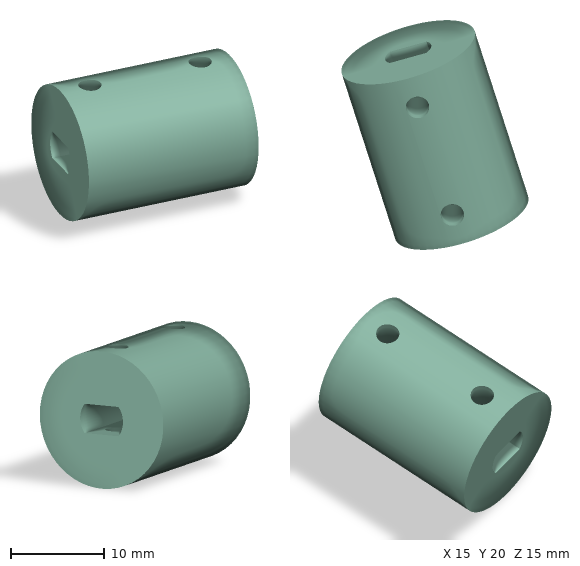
import cadquery as cq

length = 20.0
body_diameter = 15.0

socket_diameter = 5.2
socket_across_flats = 3.2
web_thickness = 2.0
socket_depth = (length - web_thickness) / 2

screw_hole_diameter = 2.5
screw_hole_end_distance = 3.5


def cylinder_along_y(diameter, start_y, extent):
    """Round bar on the Y axis running from start_y towards +Y."""
    profile = cq.Workplane("XZ", origin=(0, start_y, 0)).circle(diameter / 2)
    return profile.extrude(-extent)


def shaft_socket():
    """Round bore in the -Y end, trimmed by flats above and below."""
    bore = cylinder_along_y(socket_diameter, -length / 2, socket_depth)
    flats = cq.Workplane("XY").box(socket_diameter, 2 * length, socket_across_flats)
    return bore.intersect(flats)


def screw_holes():
    """Pair of holes passing right through the body along Z."""
    offset = length / 2 - screw_hole_end_distance
    return (
        cq.Workplane("XY")
        .pushPoints([(0, -offset), (0, offset)])
        .circle(screw_hole_diameter / 2)
        .extrude(body_diameter / 2, both=True)
    )


body = cylinder_along_y(body_diameter, -length / 2, length)
front_socket = shaft_socket()
back_socket = front_socket.mirror("XZ")
result = body.cut(front_socket).cut(back_socket).cut(screw_holes())